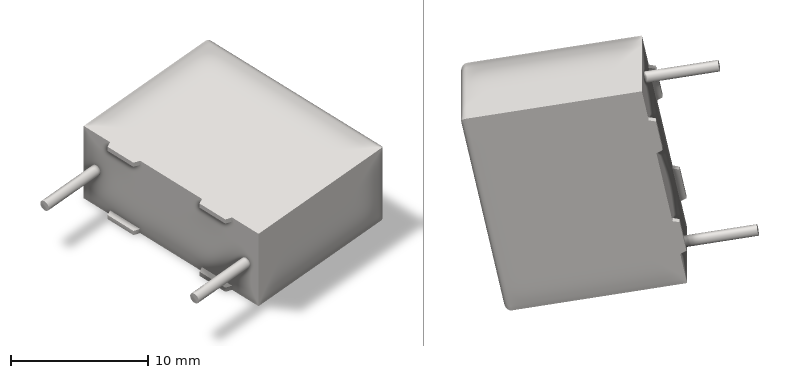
import cadquery as cq

case_width = 17.5
case_height = 7.0
total_length = 19.0
lead_length = 5.5
case_length = total_length - lead_length
edge_radius = 0.5

foot_offset = 4.6
foot_base_width = 3.0
foot_tip_width = 2.6
foot_length = 0.5
foot_thickness = 0.4

lead_diameter = 0.85
lead_spacing = 15.0



def make_foot(center_x, bottom_z):
    """Tapered foot whose base lies on the lead face."""
    return (
        cq.Workplane("XY", origin=(center_x, 0, bottom_z))
        .moveTo(-foot_base_width / 2, 0)
        .lineTo(-foot_tip_width / 2, -foot_length)
        .lineTo(foot_tip_width / 2, -foot_length)
        .lineTo(foot_base_width / 2, 0)
        .close()
        .extrude(foot_thickness)
    )


def make_case():
    """Box with a rounded closed end and four feet on the lead face."""
    case = (
        cq.Workplane("XY")
        .box(case_width, case_length, case_height, centered=(True, False, True))
        .faces(">Y")
        .edges()
        .fillet(edge_radius)
    )
    lower_foot_z = -case_height / 2
    upper_foot_z = case_height / 2 - foot_thickness
    for center_x in (-foot_offset, foot_offset):
        for bottom_z in (lower_foot_z, upper_foot_z):
            case = case.union(make_foot(center_x, bottom_z))
    return case


def make_lead(center_x):
    """Straight round lead that starts on the lead face and runs to -Y."""
    return (
        cq.Workplane("XZ", origin=(center_x, 0, 0))
        .circle(lead_diameter / 2)
        .extrude(lead_length)
    )


case = make_case()
leads = [make_lead(side * lead_spacing / 2) for side in (-1, 1)]

result = cq.Compound.makeCompound([case.val(), *[lead.val() for lead in leads]])